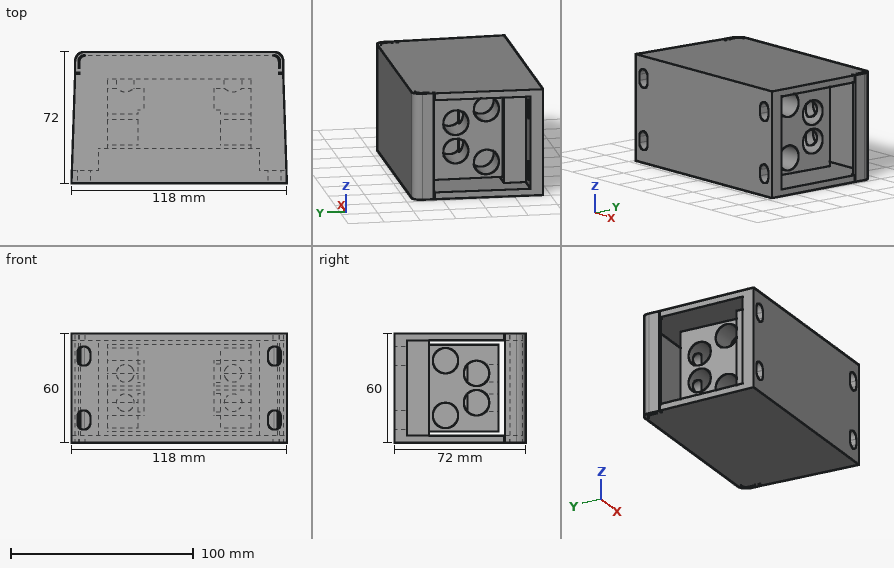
import cadquery as cq

LENGTH = 118.0
DEPTH = 72.0
HEIGHT = 60.0
MID_X = LENGTH / 2
MID_Z = HEIGHT / 2

BODY_DEPTH = 60.0
BODY_INSET = 2.0
BASE_WALL = 7.0
PLATE = 3.9

COVER_WALL = 2.0
COVER_RADIUS = 5.2
COVER_GAP = 0.5
SIDE_GAP = 0.4
BEAD_RADIUS = 1.4
BEAD_SETBACK = 0.4

SEAT_TOP = 19.0
SEAT_INSET = 15.0
BLOCK_TOP = 57.0
BLOCK_INSET = 19.8
BLOCK_HEIGHT = 47.5

WIRE_RADIUS = 7.0
WIRE_DEPTH = 16.5
LOWER_WIRE_Y = 28.0
LOWER_WIRE_OFFSET = 15.0
UPPER_WIRE_Y = 45.0
UPPER_WIRE_OFFSET = 8.0

LEDGE_Y = 40.1
LEDGE_LENGTH = 3.5
SCREW_RADIUS = 4.8
SCREW_SETBACK = 9.7

SLOT_WIDTH = 7.1
SLOT_LENGTH = 10.5
SLOT_INSET = 6.8
SLOT_SPACING = 34.9

LIP_Y = BODY_DEPTH + COVER_GAP
COVER_INSIDE_X = BODY_INSET + COVER_WALL
COVER_INSIDE_Y = DEPTH - COVER_WALL
INNER_RADIUS = COVER_RADIUS - COVER_WALL


def box(x0, x1, y0, y1, z0, z1):
    """Box between two opposite corners."""
    return cq.Workplane("XY").box(x1 - x0, y1 - y0, z1 - z0, centered=False).translate((x0, y0, z0))


def rounded_end(inset, y0, y1, radius):
    """Full-height block, inset from both X ends, with its two far corners rounded."""
    block = box(inset, LENGTH - inset, y0, y1, 0, HEIGHT)
    return block.edges("|Z and >Y").fillet(radius)


def make_body():
    outline = [
        (0, 0),
        (LENGTH, 0),
        (LENGTH - BODY_INSET, BODY_DEPTH),
        (BODY_INSET, BODY_DEPTH),
    ]
    taper = cq.Workplane("XY").polyline(outline).close().extrude(HEIGHT)
    tongue = rounded_end(COVER_INSIDE_X + SIDE_GAP, BASE_WALL, COVER_INSIDE_Y, INNER_RADIUS)
    opening = box(0, LENGTH, BASE_WALL, DEPTH, PLATE, HEIGHT - PLATE)
    return taper.union(tongue).cut(opening)


def make_cover():
    outside = rounded_end(BODY_INSET, LIP_Y, DEPTH, COVER_RADIUS)
    inside = rounded_end(COVER_INSIDE_X, BASE_WALL, COVER_INSIDE_Y, INNER_RADIUS)
    bead_x = COVER_INSIDE_X - BEAD_SETBACK
    beads = (
        cq.Workplane("XY")
        .pushPoints([(bead_x, LIP_Y + BEAD_RADIUS), (LENGTH - bead_x, LIP_Y + BEAD_RADIUS)])
        .circle(BEAD_RADIUS)
        .extrude(HEIGHT)
    )
    return outside.cut(inside).union(beads)


def make_seat():
    return box(SEAT_INSET, LENGTH - SEAT_INSET, BASE_WALL, SEAT_TOP, PLATE, HEIGHT - PLATE)


def wire_hole(y, z, depth):
    """Round hole running in +X from the low-X end of the block."""
    return (
        cq.Workplane("YZ", origin=(BLOCK_INSET, y, z))
        .circle(WIRE_RADIUS)
        .extrude(depth)
    )


def upper_wire_hole(z):
    """Wire hole with a ledge at its inner end and a screw hole from the block top."""
    hole = wire_hole(UPPER_WIRE_Y, z, WIRE_DEPTH + LEDGE_LENGTH)
    ledge_x = BLOCK_INSET + WIRE_DEPTH
    ledge = box(ledge_x, MID_X, SEAT_TOP, LEDGE_Y, 0, HEIGHT)
    screw = (
        cq.Workplane("XZ", origin=(BLOCK_INSET + SCREW_SETBACK, BLOCK_TOP, z))
        .circle(SCREW_RADIUS)
        .extrude(BLOCK_TOP - UPPER_WIRE_Y)
    )
    return hole.cut(ledge).union(screw)


def make_block():
    block = box(
        BLOCK_INSET,
        LENGTH - BLOCK_INSET,
        SEAT_TOP,
        BLOCK_TOP,
        MID_Z - BLOCK_HEIGHT / 2,
        MID_Z + BLOCK_HEIGHT / 2,
    )
    for side in (-1, 1):
        lower = wire_hole(LOWER_WIRE_Y, MID_Z + side * LOWER_WIRE_OFFSET, WIRE_DEPTH)
        upper = upper_wire_hole(MID_Z + side * UPPER_WIRE_OFFSET)
        for hole in (lower, upper):
            opposite = hole.mirror("YZ", (MID_X, 0, 0))
            block = block.cut(hole).cut(opposite)
    return block


def make_slots():
    return (
        cq.Workplane("XZ", origin=(MID_X, 0, MID_Z))
        .rarray(LENGTH - 2 * SLOT_INSET, SLOT_SPACING, 2, 2)
        .slot2D(SLOT_LENGTH, SLOT_WIDTH, 90)
        .extrude(-BASE_WALL)
    )


result = (
    make_body()
    .union(make_cover())
    .union(make_seat())
    .union(make_block())
    .cut(make_slots())
)